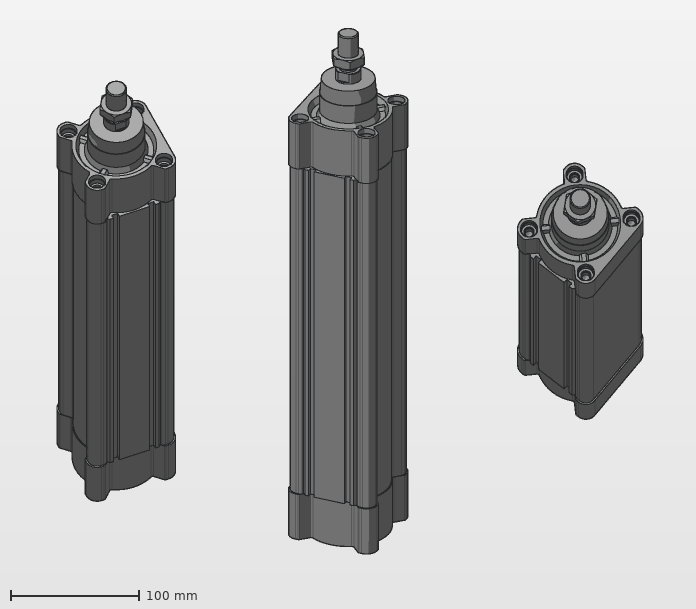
import cadquery as cq
import math

rear_cap_bottom = 4.0
cap_height = 40.5
tube_length = 290.2
rear_cap_top = rear_cap_bottom + cap_height
front_cap_bottom = rear_cap_top + tube_length
front_cap_top = front_cap_bottom + cap_height
collar_shoulder = 390.5
collar_top = 402.8
rod_bottom = front_cap_bottom
rod_shoulder = 411.5
rod_top = 443.0

cap_width = 75.0
tube_width = 72.2
cap_radius = 34.5
tube_radius = 33.5
cap_lug_offset = 12.0
tube_lug_offset = 11.5
cap_edge_radius = 1.8
tube_edge_radius = 4.0
lug_root_radius = 1.8
bolt_offset = 28.5
collar_diameter = 45.0
collar_neck_diameter = 44.5
collar_tip_diameter = 42.0

panel_half_width = 13.0
slot_far_side = 17.7
lip_far_side = 23.0
lip_chamfer = 2.0
slot_floor = 33.0

recess_outer_diameter = 63.0
recess_depth = 5.5
recess_wall_slope = 2.0
rib_drop = 2.5
rib_top_width = 3.5
rib_base_width = 7.0

bolt_tip_diameter = 6.5
bolt_depth = 17.7
drill_point_angle = 118
bolt_steps = [(13.5, 4.5), (12.0, 9.0), (8.0, 11.0), (bolt_tip_diameter, bolt_depth)]

rod_diameter = 20.0
rod_flats_width = 17.7
flats_bottom = 404.0
thread_diameter = 16.0
neck_diameter = 13.7
neck_length = 1.8
shoulder_chamfer = 0.5
thread_chamfer = 1.0
nut_width = 24.0
nut_chamfer_height = 1.0
nut_height = 8.0
nut_bottom = 417.0

position_tolerance = 0.05
axis_clearance = 4.5


def disc(diameter, bottom, top):
    return cq.Workplane("XY").workplane(offset=bottom).circle(diameter / 2).extrude(top - bottom)


def block(x_size, y_size, bottom, top):
    plane = cq.Workplane("XY").workplane(offset=bottom)
    return plane.rect(x_size, y_size).extrude(top - bottom)


def is_lug_root(edge, radius):
    """True where a lug flank meets the barrel, well away from the X and Y axes."""
    point = edge.Center()
    on_barrel = abs(math.hypot(point.x, point.y) - radius) < position_tolerance
    return on_barrel and min(abs(point.x), abs(point.y)) > axis_clearance


def corner_body(width, radius, lug_offset, edge_radius, bottom, top):
    """Round barrel with a lug on each diagonal and a flat +Y side."""
    half = width / 2
    lug_outline = [
        (lug_offset, 0),
        (half, half - lug_offset),
        (half, half),
        (half - lug_offset, half),
        (0, lug_offset),
    ]
    plane = cq.Workplane("XY").workplane(offset=bottom)
    lug = plane.polyline(lug_outline).close().extrude(top - bottom)
    lug = lug.edges("|Z and (>X or >Y)").edges("not(>(1, 1, 0))").fillet(edge_radius)
    lug = lug.edges("|Z").edges(">(1, 1, 0)").fillet(half - bolt_offset)
    body = disc(2 * radius, bottom, top)
    for angle in (0, 90, 180, 270):
        body = body.union(lug.rotate((0, 0, 0), (0, 0, 1), angle))
    lug_roots = body.edges("|Z").filter(lambda edge: is_lug_root(edge, radius))
    body = lug_roots.fillet(lug_root_radius)
    back = block(2 * bolt_offset, half, bottom, top).translate((0, half / 2, 0))
    return body.union(back)


def make_cap(bottom):
    top = bottom + cap_height
    return corner_body(cap_width, cap_radius, cap_lug_offset, cap_edge_radius, bottom, top)


def make_tube():
    """Barrel with a flat panel and two sensor slots along each X side."""
    bottom = rear_cap_top
    top = front_cap_bottom
    slot_width = slot_far_side - panel_half_width
    slot_depth = tube_width / 2 - slot_floor
    body = corner_body(tube_width, tube_radius, tube_lug_offset, tube_edge_radius, bottom, top)
    lips = block(tube_width, 2 * lip_far_side, bottom, top)
    body = body.union(lips.edges("|Z").chamfer(lip_chamfer))
    for x_side in (-1, 1):
        for y_side in (-1, 1):
            slot = block(slot_depth, slot_width, bottom, top)
            x = x_side * (slot_floor + slot_depth / 2)
            y = y_side * (panel_half_width + slot_width / 2)
            body = body.cut(slot.translate((x, y, 0)))
    return body


def ring_recess():
    """Ring with sloping walls, broken by four tapered ribs on the diagonals."""
    floor = front_cap_top - recess_depth
    section = [
        (collar_diameter / 2, front_cap_top),
        (recess_outer_diameter / 2, front_cap_top),
        (recess_outer_diameter / 2 - recess_wall_slope, floor),
        (collar_diameter / 2 + recess_wall_slope, floor),
    ]
    ring = cq.Workplane("XZ").polyline(section).close().revolve(360, (0, 0, 0), (0, 1, 0))
    rib_top = front_cap_top - rib_drop
    rib_section = [
        (-rib_top_width / 2, rib_top),
        (rib_top_width / 2, rib_top),
        (rib_base_width / 2, floor),
        (-rib_base_width / 2, floor),
    ]
    rib = cq.Workplane("XZ").polyline(rib_section).close().extrude(cap_width / 2, both=True)
    for angle in (45, 135):
        ring = ring.cut(rib.rotate((0, 0, 0), (0, 0, 1), angle))
    return ring


def make_collar():
    """Round collar that steps in slightly and narrows to its top."""
    collar = disc(collar_diameter, front_cap_top, collar_shoulder)
    cone = (
        cq.Workplane("XY")
        .workplane(offset=collar_shoulder)
        .circle(collar_neck_diameter / 2)
        .workplane(offset=collar_top - collar_shoulder)
        .circle(collar_tip_diameter / 2)
        .loft()
    )
    return collar.union(cone)


def bolt_hole():
    """Stepped hole with a drill-point bottom, on the Z axis."""
    tip_radius = bolt_tip_diameter / 2
    tip_height = tip_radius / math.tan(math.radians(drill_point_angle / 2))
    tip_bottom = front_cap_top - bolt_depth - tip_height
    tip = cq.Solid.makeCone(0, tip_radius, tip_height).translate(cq.Vector(0, 0, tip_bottom))
    hole = cq.Workplane(tip)
    for diameter, depth in bolt_steps:
        hole = hole.union(disc(diameter, front_cap_top - depth, front_cap_top))
    return hole


def make_housing():
    body = make_cap(rear_cap_bottom)
    body = body.union(make_tube())
    body = body.union(make_cap(front_cap_bottom))
    body = body.cut(ring_recess())
    body = body.union(disc(collar_diameter, 0, rear_cap_bottom))
    body = body.union(make_collar())
    for x in (-bolt_offset, bolt_offset):
        for y in (-bolt_offset, bolt_offset):
            body = body.cut(bolt_hole().translate((x, y, 0)))
    return body.cut(disc(rod_diameter, rod_bottom, collar_top))


def make_rod():
    """Rod with two wrench flats facing X, a thread relief and a plain threaded end."""
    shaft = disc(rod_diameter, rod_bottom, rod_shoulder)
    shaft = shaft.faces(">Z").chamfer(shoulder_chamfer)
    flats = block(rod_flats_width, rod_diameter, flats_bottom, rod_shoulder)
    shaft = shaft.intersect(flats.union(disc(rod_diameter, rod_bottom, flats_bottom)))
    neck_top = rod_shoulder + neck_length
    neck = disc(neck_diameter, rod_shoulder, neck_top)
    thread = disc(thread_diameter, neck_top, rod_top)
    thread = thread.faces("<Z or >Z").chamfer(thread_chamfer)
    return shaft.union(neck).union(thread)


def make_nut():
    """Hexagon nut with corners along Y, chamfered on both faces."""
    corner_diameter = nut_width / math.cos(math.radians(30))
    nut_top = nut_bottom + nut_height
    hexagon = (
        cq.Workplane("XY")
        .workplane(offset=nut_bottom)
        .polygon(6, corner_diameter)
        .extrude(nut_height)
        .rotate((0, 0, 0), (0, 0, 1), 90)
    )
    chamfer_width = (corner_diameter - nut_width) / 2
    envelope = disc(corner_diameter, nut_bottom, nut_top)
    envelope = envelope.faces("<Z or >Z").chamfer(nut_chamfer_height, chamfer_width)
    hexagon = hexagon.intersect(envelope)
    return hexagon.cut(disc(thread_diameter, nut_bottom, nut_top))


housing = make_housing().solids()
rod = make_rod().solids()
nut = make_nut().solids()
result = cq.Compound.makeCompound([housing.val(), rod.val(), nut.val()])